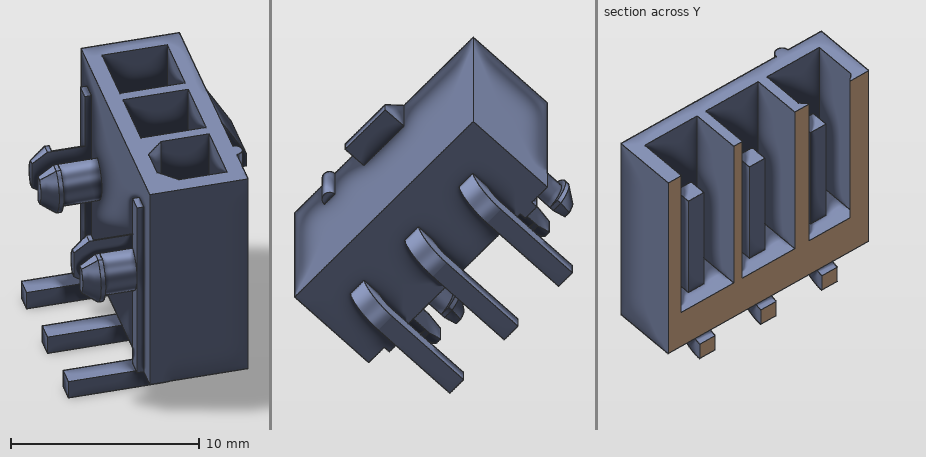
import cadquery as cq
import math


pitch = 4.2
circuit_positions = (-pitch, 0, pitch)
cavity_size = 3.6
back_wall = 0.92
board_side_wall = 0.91
body_width = 13.8
body_depth = back_wall + cavity_size + board_side_wall
body_height = 12.44
floor_thickness = 2.5
cavity_depth = body_height - floor_thickness
key_chamfer = 0.95

pin_size = 1.07
pin_y = -2.49
pin_drop = 1.65
pin_reach = 3.89
pin_outer_radius = 2.14
pin_inner_radius = pin_outer_radius - pin_size
pin_top_recess = 3.3

peg_positions = (-pitch, pitch)
peg_z = 6.17
stem_radius = 1.5
stem_length = 2.18
slot_width = 1.2
head_radius = 1.81
head_rim = 0.25
head_taper_length = 0.85
head_taper_inset = 0.6
head_half_height = math.sqrt(stem_radius**2 - (slot_width / 2) ** 2)
peg_length = stem_length + head_rim + head_taper_length

rib_width = stem_radius - slot_width / 2
rib_thickness = 0.37
rib_height = 10.8
rib_center = pitch + stem_radius - rib_width / 2

latch_width = 3.1
latch_reach = 1.38
latch_ramp_drop = 2.35
latch_tip_drop = 3.14
latch_root_drop = 3.07
marker_radius = 0.4
marker_length = latch_root_drop


def make_body():
    return (
        cq.Workplane("XY")
        .box(body_width, body_depth, body_height, centered=(True, False, False))
        .translate((0, -body_depth, 0))
    )


def make_cavity(x, keyed):
    cavity = (
        cq.Workplane("XY")
        .box(cavity_size, cavity_size, cavity_depth, centered=(True, True, False))
        .translate((x, -back_wall - cavity_size / 2, floor_thickness))
    )
    if keyed:
        cavity = cavity.edges("|Z and <Y").chamfer(key_chamfer)
    return cavity


def make_pin(x):
    """Square pin: upright in the cavity, then bent toward -Y below the housing."""
    back = pin_y + pin_size / 2
    front = pin_y - pin_size / 2
    top = body_height - pin_top_recess
    bend_y = back - pin_outer_radius
    bend_z = pin_outer_radius - pin_drop
    tip = -body_depth - pin_reach
    diagonal = math.sqrt(0.5)
    return (
        cq.Workplane("YZ")
        .moveTo(back, top)
        .lineTo(back, bend_z)
        .threePointArc(
            (bend_y + pin_outer_radius * diagonal, bend_z - pin_outer_radius * diagonal), (bend_y, -pin_drop)
        )
        .lineTo(tip, -pin_drop)
        .lineTo(tip, pin_size - pin_drop)
        .lineTo(bend_y, pin_size - pin_drop)
        .threePointArc(
            (bend_y + pin_inner_radius * diagonal, bend_z - pin_inner_radius * diagonal), (front, bend_z)
        )
        .lineTo(front, top)
        .close()
        .extrude(pin_size / 2, both=True)
        .translate((x, 0, 0))
    )


def make_peg(x):
    """Slotted round stem with a tapered head that is flattened above and below."""
    rim_end = stem_length + head_rim
    tip_radius = head_radius - head_taper_inset
    tip_half_height = head_half_height - head_taper_inset
    stem = cq.Workplane("XZ").circle(stem_radius).extrude(stem_length)
    head = (
        cq.Workplane("XY")
        .moveTo(0, -stem_length)
        .lineTo(head_radius, -stem_length)
        .lineTo(head_radius, -rim_end)
        .lineTo(tip_radius, -peg_length)
        .lineTo(0, -peg_length)
        .close()
        .revolve(360, (0, 0, 0), (0, 1, 0))
    )
    flats = (
        cq.Workplane("YZ")
        .moveTo(-stem_length, head_half_height)
        .lineTo(-rim_end, head_half_height)
        .lineTo(-peg_length, tip_half_height)
        .lineTo(-peg_length, -tip_half_height)
        .lineTo(-rim_end, -head_half_height)
        .lineTo(-stem_length, -head_half_height)
        .close()
        .extrude(head_radius, both=True)
    )
    slot = cq.Workplane("XZ").rect(slot_width, 2 * head_radius).extrude(peg_length)
    return stem.union(head.intersect(flats)).cut(slot).translate((x, -body_depth, peg_z))


def make_rib(x):
    return (
        cq.Workplane("XY")
        .box(rib_width, rib_thickness, rib_height, centered=(True, False, False))
        .translate((x, -body_depth - rib_thickness, 0))
    )


def make_latch():
    return (
        cq.Workplane("YZ")
        .moveTo(0, body_height)
        .lineTo(latch_reach, body_height - latch_ramp_drop)
        .lineTo(latch_reach, body_height - latch_tip_drop)
        .lineTo(0, body_height - latch_root_drop)
        .close()
        .extrude(latch_width / 2, both=True)
    )


def make_marker(x):
    return (
        cq.Workplane("XY")
        .workplane(offset=body_height - marker_length)
        .center(x, 0)
        .circle(marker_radius)
        .extrude(marker_length)
    )


keyed_position = circuit_positions[-1]

result = make_body().union(make_latch()).union(make_marker(keyed_position))
for x in circuit_positions:
    result = result.cut(make_cavity(x, keyed=x == keyed_position))
for x in circuit_positions:
    result = result.union(make_pin(x))
for x in peg_positions:
    result = result.union(make_peg(x))
for x in (-rib_center, rib_center):
    result = result.union(make_rib(x))